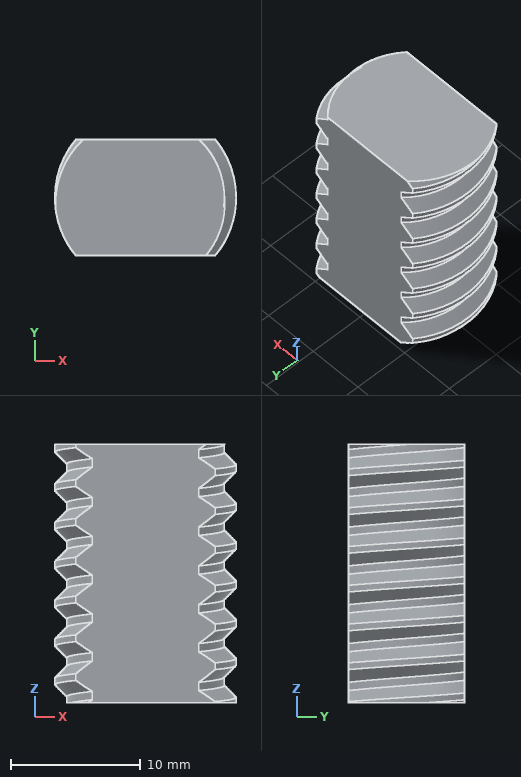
import cadquery as cq
import math

length = 20.0
width_across_flats = 9.0
crest_diameter = 14.05

pitch = 3.0
root_diameter = 12.2
root_flat = 0.65
flank_angle = 45.0
crest_height = 0.15

radial_overlap = 0.2
sweep_angle = 120.0

crest_radius = crest_diameter / 2
root_radius = root_diameter / 2


def flatted_bar():
    """Round bar with two parallel flats facing -Y and +Y."""
    bar = cq.Workplane("XY").circle(crest_radius).extrude(length)
    envelope = cq.Workplane("XY").box(
        crest_diameter, width_across_flats, length, centered=(True, True, False)
    )
    return bar.intersect(envelope)


def groove_cutter():
    """One stretch of thread groove, centred on the +X direction at height zero."""
    cutter_radius = crest_radius + radial_overlap
    flank_rise = (cutter_radius - root_radius) * math.tan(math.radians(flank_angle))
    half_root = root_flat / 2
    half_mouth = half_root + flank_rise
    climb = pitch * sweep_angle / 360
    path = cq.Wire.makeHelix(pitch, climb, root_radius)
    return (
        cq.Workplane("XZ")
        .polyline([
            (root_radius, -half_root),
            (cutter_radius, -half_mouth),
            (cutter_radius, half_mouth),
            (root_radius, half_root),
        ])
        .close()
        .sweep(cq.Workplane(path), isFrenet=True)
        .rotate((0, 0, 0), (0, 0, 1), -sweep_angle / 2)
        .translate((0, 0, -climb / 2))
    )


result = flatted_bar()
cutter = groove_cutter()
first_groove_height = crest_height - pitch / 2
half_turns = math.ceil(2 * length / pitch) + 2

for half_turn in range(half_turns):
    groove = cutter.rotate((0, 0, 0), (0, 0, 1), 180 * half_turn)
    groove = groove.translate((0, 0, first_groove_height + half_turn * pitch / 2))
    result = result.cut(groove)